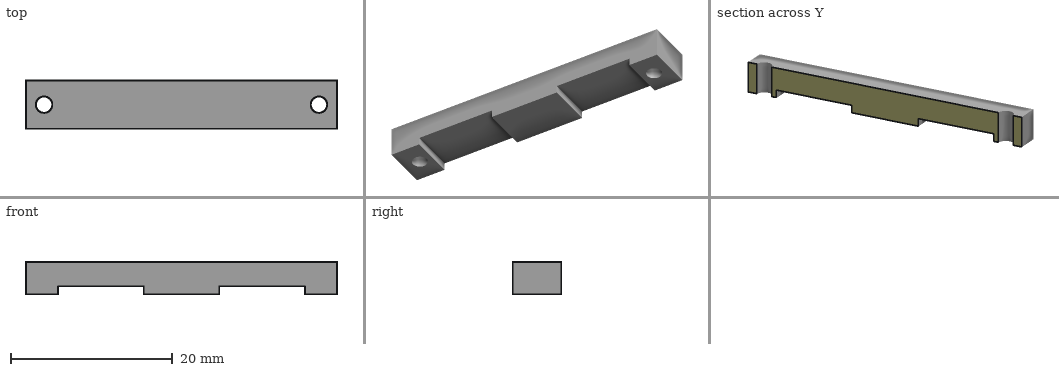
import cadquery as cq

length = 38.5
width = 6.0
height = 4.0

end_foot_length = 4.0
center_foot_length = 9.4
recess_depth = 1.0
recess_length = (length - center_foot_length) / 2 - end_foot_length
recess_offset = (center_foot_length + recess_length) / 2

hole_diameter = 2.0
hole_spacing = 34.0


def underside_recess(x_center):
    """Block that cuts one recess across the full width of the underside."""
    return (
        cq.Workplane("XY")
        .center(x_center, 0)
        .box(recess_length, width, recess_depth, centered=(True, True, False))
    )


result = cq.Workplane("XY").box(length, width, height, centered=(True, True, False))

for side in (-1, 1):
    result = result.cut(underside_recess(side * recess_offset))

result = (
    result.faces(">Z")
    .workplane(origin=(0, 0, height))
    .pushPoints([(-hole_spacing / 2, 0), (hole_spacing / 2, 0)])
    .hole(hole_diameter)
)